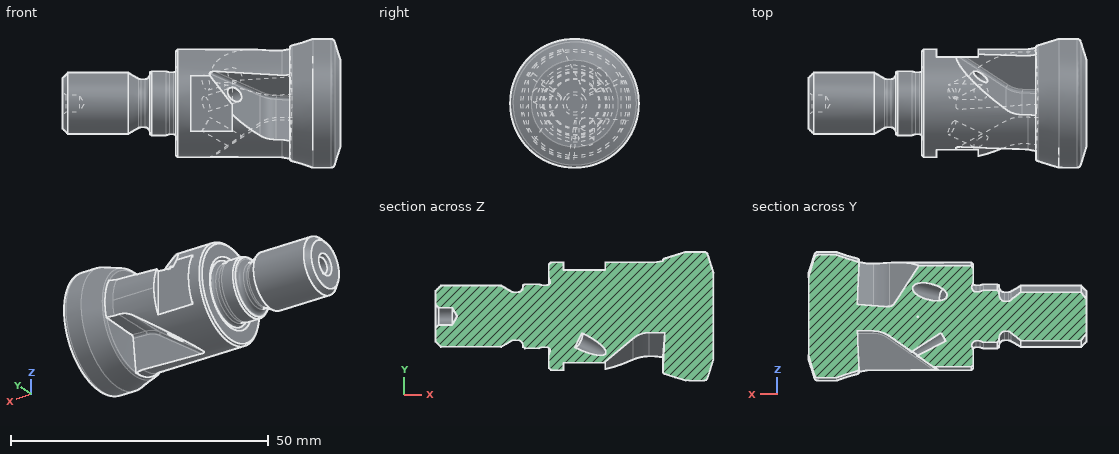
import cadquery as cq
import math

length = 54.0
shank_chamfer = 1.1
thread_end = 12.75
neck_taper_end = 14.7
neck_start = 15.15
neck_end = 16.0
collar_start = 16.95
collar_chamfer_length = 0.45
collar_end = 20.0
relief_start = 20.75
relief_end = 21.55
body_start = 21.95
body_chamfer = 0.45
flare_start = 42.55
head_start = 44.1
head_full_start = 48.6
head_full_end = 52.7
head_recess_depth = 0.55
head_rim_radius = 0.55
head_crown_radius = 0.8

neck_blend_radius = 0.85
neck_fillet = collar_start - neck_end

shank_radius = 6.0
neck_taper_radius = 4.85
neck_radius = 4.7
collar_edge_radius = 6.0
collar_radius = 6.25
relief_radius = 6.05
body_radius = 21.0 / 2
flare_radius = 10.8
head_edge_radius = 11.1
head_radius = 12.5
head_end_radius = 8.4

undercut_outer_radius = 7.45
undercut_inner_radius = 6.75
undercut_fillet = undercut_inner_radius - relief_radius

centre_hole_radius = 3.3 / 2
centre_chamfer_radius = 2.25
centre_chamfer_depth = 0.65
centre_hole_depth = 3.25
centre_tip_depth = 0.95

flat_start = 24.9
flat_end = 32.95
flat_distance = 9.0

gullet_count = 3
gullet_angle = 147.0
gullet_end = 48.6
floor_height = 2.7
ramp_angle = 35.0
ramp_start = 38.3
ramp_blend_radius = 5.4
rake_offset = 0.45
rake_tilt = -4.0
rake_corner_radius = 0.55
gullet_reach = 16.2

coolant_diameter = 3.0
coolant_x = 33.4
coolant_offset = 2.6
coolant_angle = 30.0
coolant_depth = 6.5


def make_turned_body():
    """Shank, neck, collar and body as one turned profile."""
    return (
        cq.Workplane("XY")
        .moveTo(0, 0)
        .lineTo(0, shank_radius - shank_chamfer)
        .lineTo(shank_chamfer, shank_radius)
        .lineTo(thread_end, shank_radius)
        .lineTo(neck_taper_end, neck_taper_radius)
        .radiusArc((neck_start, neck_radius), -neck_blend_radius)
        .lineTo(neck_end, neck_radius)
        .radiusArc((collar_start, neck_radius + neck_fillet), -neck_fillet)
        .lineTo(collar_start, collar_edge_radius)
        .lineTo(collar_start + collar_chamfer_length, collar_radius)
        .lineTo(collar_end, collar_radius)
        .lineTo(relief_start, relief_radius)
        .lineTo(relief_end, relief_radius)
        .radiusArc((relief_end + undercut_fillet, undercut_inner_radius), -undercut_fillet)
        .lineTo(body_start, undercut_outer_radius)
        .lineTo(body_start, body_radius - body_chamfer)
        .lineTo(body_start + body_chamfer, body_radius)
        .lineTo(flare_start, body_radius)
        .lineTo(head_start, flare_radius)
        .lineTo(head_full_start, flare_radius)
        .lineTo(head_full_start, 0)
        .close()
        .revolve(360, (0, 0, 0), (1, 0, 0))
    )


def make_head():
    """Turned cutting head with a rounded rim and a dished face towards the shank."""
    profile = (
        cq.Workplane("XY")
        .moveTo(head_start + head_recess_depth, 0)
        .lineTo(head_start, head_edge_radius)
        .lineTo(head_full_start, head_radius)
        .lineTo(head_full_end, head_radius)
        .lineTo(length, head_end_radius)
        .lineTo(length, 0)
        .close()
    )
    head = profile.revolve(360, (0, 0, 0), (1, 0, 0))
    head = head.edges(cq.selectors.RadiusNthSelector(-1)).edges(">X").fillet(head_crown_radius)
    return head.edges("<X").fillet(head_rim_radius)


def make_centre_hole():
    """Chamfered blind hole with a conical tip."""
    return (
        cq.Workplane("XY")
        .lineTo(0, centre_chamfer_radius)
        .lineTo(centre_chamfer_depth, centre_hole_radius)
        .lineTo(centre_hole_depth, centre_hole_radius)
        .lineTo(centre_hole_depth + centre_tip_depth, 0)
        .close()
        .revolve(360, (0, 0, 0), (1, 0, 0))
    )


def make_flat(side):
    """Cutter for the wrench flat on the +Y (side = 1) or -Y (side = -1) face."""
    cut_depth = body_radius
    return cq.Workplane("XY").box(flat_end - flat_start, cut_depth, 2 * body_radius).translate(
        ((flat_start + flat_end) / 2, side * (flat_distance + cut_depth / 2), 0)
    )


def make_gullet():
    """Cutter for one gullet and its coolant hole, with the rake wall along +Y."""
    slope = math.radians(ramp_angle)
    blend_x = ramp_start + ramp_blend_radius * math.sin(slope)
    ramp_foot = floor_height + ramp_blend_radius * (1 - math.cos(slope))
    ramp_length = (gullet_reach - ramp_foot) / math.tan(slope)
    floor_cut = (
        cq.Workplane("XY")
        .workplane(offset=-gullet_reach)
        .moveTo(gullet_end, floor_height)
        .lineTo(blend_x, floor_height)
        .radiusArc((ramp_start, ramp_foot), ramp_blend_radius)
        .lineTo(ramp_start - ramp_length, gullet_reach)
        .lineTo(gullet_end, gullet_reach)
        .close()
        .extrude(2 * gullet_reach)
    )
    rake_side = (
        cq.Workplane("XY")
        .box(2 * length, 2 * length, length, centered=(True, True, False))
        .rotate((0, 0, 0), (0, 1, 0), rake_tilt)
        .translate((head_start, 0, rake_offset))
    )
    pocket = (
        floor_cut.intersect(rake_side)
        .faces("<Z")
        .edges("not(>X or >Y)")
        .fillet(rake_corner_radius)
    )
    coolant_y = ramp_foot + (ramp_start - coolant_x) * math.tan(slope)
    hole_slope = math.radians(coolant_angle)
    hole_axis = cq.Vector(math.cos(hole_slope), math.sin(hole_slope), 0)
    mouth = cq.Vector(coolant_x, coolant_y, coolant_offset)
    coolant_hole = cq.Workplane(
        cq.Solid.makeCylinder(
            coolant_diameter / 2, 2 * coolant_depth, mouth - hole_axis * coolant_depth, hole_axis
        )
    )
    return pocket.union(coolant_hole)


result = make_turned_body().cut(make_centre_hole())

for side in (-1, 1):
    result = result.cut(make_flat(side))

gullet = make_gullet()
for index in range(gullet_count):
    angle = gullet_angle + index * 360 / gullet_count
    result = result.cut(gullet.rotate((0, 0, 0), (1, 0, 0), angle))

result = result.union(make_head())